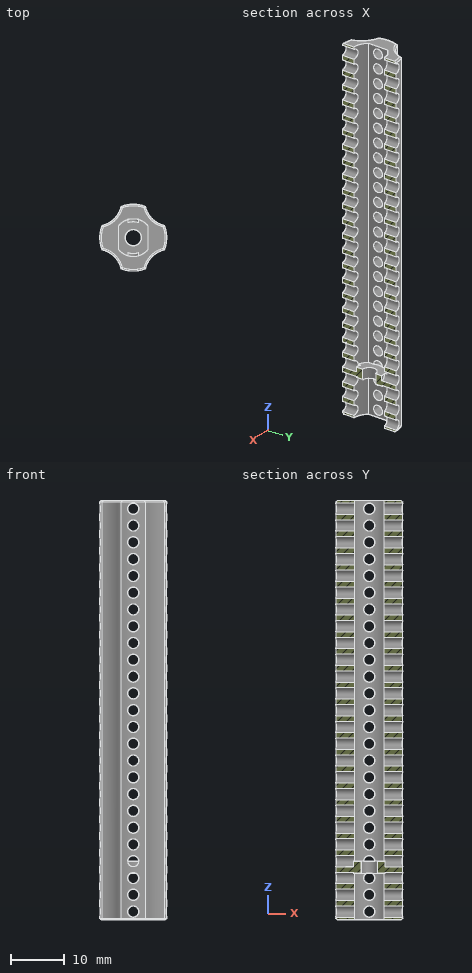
import cadquery as cq
import math

length = 78.1
outer_radius = 6.25
end_chamfer = 0.3

lobe_half_width = 2.3
groove_floor_radius = 5.0

bore_diameter = 7.0
bore_width = 5.5

web_top = 10.9
web_thickness = 2.3
web_hole_diameter = 3.0
web_core_diameter = 2 * web_hole_diameter

side_hole_diameter = 2.0
side_hole_pitch = 3.1
side_hole_count = round(length / side_hole_pitch)


def lobed_outline():
    """Closed outline with lobe tips on the outer circle and a concave arc between each pair."""
    tip_angle = math.degrees(math.asin(lobe_half_width / outer_radius))

    def polar(radius, degrees):
        angle = math.radians(degrees)
        return radius * math.cos(angle), radius * math.sin(angle)

    outline = cq.Workplane("XY").moveTo(*polar(outer_radius, -tip_angle))
    for lobe in (0, 90, 180, 270):
        outline = outline.threePointArc(polar(outer_radius, lobe), polar(outer_radius, lobe + tip_angle))
        groove_end = polar(outer_radius, lobe + 90 - tip_angle)
        outline = outline.threePointArc(polar(groove_floor_radius, lobe + 45), groove_end)
    return outline.close()


def bore_prism(bottom, height):
    """Circular prism trimmed by the two flats."""
    round_part = cq.Workplane("XY").workplane(offset=bottom).circle(bore_diameter / 2).extrude(height)
    flats = cq.Workplane("XY").workplane(offset=bottom).rect(bore_width, bore_diameter).extrude(height)
    return round_part.intersect(flats)


def side_holes():
    """Two crossing rows of drill cylinders, one along X and one along Y, through opposite lobes."""
    heights = [side_hole_pitch * (index + 0.5) for index in range(side_hole_count)]
    cutters = []
    for plane in ("YZ", "XZ"):
        row = (
            cq.Workplane(plane)
            .pushPoints([(0, height) for height in heights])
            .circle(side_hole_diameter / 2)
            .extrude(outer_radius, both=True)
        )
        cutters.append(row)
    return cutters


body = lobed_outline().extrude(length).faces("<Z or >Z").chamfer(end_chamfer)

web_bottom = web_top - web_thickness
body = body.cut(bore_prism(web_top, length - web_top))
body = body.cut(bore_prism(0, web_bottom))

web_core = cq.Workplane("XY").workplane(offset=web_bottom).circle(web_core_diameter / 2).extrude(web_thickness)
for hole_row in side_holes():
    body = body.cut(hole_row.cut(web_core))

result = body.cut(cq.Workplane("XY").circle(web_hole_diameter / 2).extrude(length))